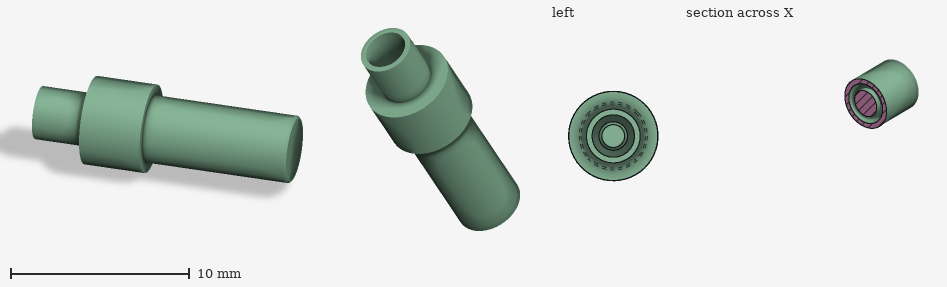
import cadquery as cq
import math

total_length = 14.81
sleeve_length = 3.0
collar_length = 3.5
shank_chamfer = 0.1

sleeve_diameter = 3.0
collar_diameter = 5.0
shank_diameter = 3.8

bore_diameter = 2.37
bore_depth = 3.0
floor_cone_angle = 126.0

pin_diameter = 1.6
pin_height = 0.89
pin_tip_diameter = 1.27
pin_taper_length = 0.28

shank_start = sleeve_length + collar_length
sleeve_radius = sleeve_diameter / 2
collar_radius = collar_diameter / 2
shank_radius = shank_diameter / 2
bore_radius = bore_diameter / 2
pin_radius = pin_diameter / 2
pin_tip_radius = pin_tip_diameter / 2

floor_cone_length = (bore_radius - pin_radius) / math.tan(math.radians(floor_cone_angle / 2))
pin_foot = bore_depth + floor_cone_length
pin_tip = pin_foot - pin_height

half_section = (
    cq.Workplane("XY")
    .moveTo(0, bore_radius)
    .lineTo(0, sleeve_radius)
    .lineTo(sleeve_length, sleeve_radius)
    .lineTo(sleeve_length, collar_radius)
    .lineTo(shank_start, collar_radius)
    .lineTo(shank_start, shank_radius)
    .lineTo(total_length - shank_chamfer, shank_radius)
    .lineTo(total_length, shank_radius - shank_chamfer)
    .lineTo(total_length, 0)
    .lineTo(pin_tip, 0)
    .lineTo(pin_tip, pin_tip_radius)
    .lineTo(pin_tip + pin_taper_length, pin_radius)
    .lineTo(pin_foot, pin_radius)
    .lineTo(bore_depth, bore_radius)
    .close()
)

result = half_section.revolve(360, (0, 0, 0), (1, 0, 0))